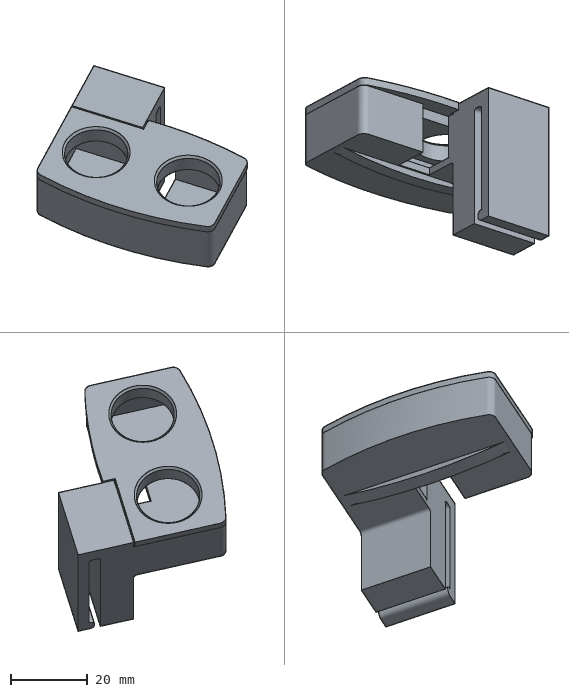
import cadquery as cq

width = 50.0
straight_depth = 25.0
bulge = 3.0
total_height = 37.0
corner_radius = 2.0

half_width = width / 2
half_depth = straight_depth / 2
apex = half_depth + bulge

wall = 2.0
housing_height = 16.0
housing_bottom = total_height - housing_height
pocket_width = width - 2 * wall
pocket_depth = straight_depth - 2 * wall
pocket_floor = housing_bottom + wall

opening_width = 10.0
opening_depth = 10.0

rib_width = 4.0
rib_drop = 1.9
rib_half_length = half_width - corner_radius

bracket_width = 20.0
bracket_depth = 15.0
bracket_rear = half_depth + bracket_depth
bracket_side = bracket_width - half_width
slot_width = 3.0
clip_thickness = 3.0
slot_top = total_height - 4.0
slot_corner_radius = 1.0
bead_radius = 1.5
root_fillet = 1.0

lid_thickness = 2.1
lid_bottom = total_height - lid_thickness
notch_clearance = 0.4
hole_diameter = 16.5
hole_spacing = 26.0
hole_depth = 5.0
hole_chamfer = 0.6
chamfer_angle = 90
plug_height = hole_depth - lid_thickness


def block(x_range, y_range, z_range):
    """Box between two limits on each axis."""
    (x0, x1), (y0, y1), (z0, z1) = x_range, y_range, z_range
    return cq.Workplane("XY").box(x1 - x0, y1 - y0, z1 - z0, centered=False).translate((x0, y0, z0))


def centred_block(size_x, size_y, z_range):
    """Box centred on the Z axis between two heights."""
    return block((-size_x / 2, size_x / 2), (-size_y / 2, size_y / 2), z_range)


def curved_front_outline(z):
    """Open wire from the rear left corner around the bowed front to the rear right corner."""
    return (
        cq.Workplane("XY", origin=(0, 0, z))
        .moveTo(-half_width, half_depth)
        .lineTo(-half_width, -half_depth)
        .threePointArc((0, -apex), (half_width, -half_depth))
        .lineTo(half_width, half_depth)
    )


def round_corners(body):
    """Round every upright corner except the rear left one, which meets the bracket."""
    return body.edges("|Z").edges("<Y or >X").fillet(corner_radius)


def make_shell():
    """Box with a flat rear, a bowed front and a rectangular pocket open at the top."""
    shell = round_corners(curved_front_outline(housing_bottom).close().extrude(lid_bottom - housing_bottom))
    shell = shell.cut(centred_block(pocket_width, pocket_depth, (pocket_floor, lid_bottom)))
    opening = block(
        (-opening_width / 2, opening_width / 2),
        (half_depth - opening_depth, half_depth),
        (housing_bottom, lid_bottom),
    )
    return shell.cut(opening)


def make_rib():
    """Shallow circular segment running along X under the floor."""
    return (
        cq.Workplane("XZ")
        .moveTo(-rib_half_length, housing_bottom)
        .threePointArc((0, housing_bottom - rib_drop), (rib_half_length, housing_bottom))
        .close()
        .extrude(rib_width / 2, both=True)
    )


def make_bracket():
    """Hanging block split by a slot into a thin clip and a thick leg."""
    x_range = (-half_width, bracket_side)
    bracket = block(x_range, (half_depth, bracket_rear), (0, total_height))

    clip_face = bracket_rear - clip_thickness
    slot = block(x_range, (clip_face - slot_width, clip_face), (0, slot_top))
    slot = slot.edges("|X and >Z").fillet(slot_corner_radius)

    bead = (
        cq.Workplane("YZ", origin=(-half_width, clip_face, bead_radius))
        .circle(bead_radius)
        .extrude(bracket_width)
    )
    return bracket.cut(slot).union(bead)


def make_root_fillet():
    """Concave fillet between the bracket leg and the underside of the housing."""
    return (
        cq.Workplane("YZ", origin=(-half_width, half_depth, housing_bottom))
        .lineTo(-root_fillet, 0)
        .radiusArc((0, -root_fillet), root_fillet)
        .close()
        .extrude(bracket_width)
    )


def make_housing():
    """Shell, rib and bracket as one solid."""
    return make_shell().union(make_rib()).union(make_bracket()).union(make_root_fillet())


def make_lid():
    """Bowed plate notched around the bracket, with a plug below it and two chamfered holes."""
    plate = (
        curved_front_outline(lid_bottom)
        .threePointArc((0, apex), (-half_width, half_depth))
        .close()
        .extrude(lid_thickness)
    )
    plate = round_corners(plate)
    notch = block(
        (-half_width, bracket_side + notch_clearance),
        (half_depth - notch_clearance, apex),
        (lid_bottom, total_height),
    )
    plug = centred_block(pocket_width, pocket_depth, (lid_bottom - plug_height, lid_bottom))
    lid = plate.cut(notch).union(plug)
    return (
        lid.faces(">Z").workplane(origin=(0, 0, total_height))
        .rarray(hole_spacing, 0.5, 2, 1)
        .cskHole(hole_diameter, hole_diameter + 2 * hole_chamfer, chamfer_angle)
    )


housing = make_housing()
lid = make_lid()

result = cq.Compound.makeCompound([housing.val(), lid.val()])